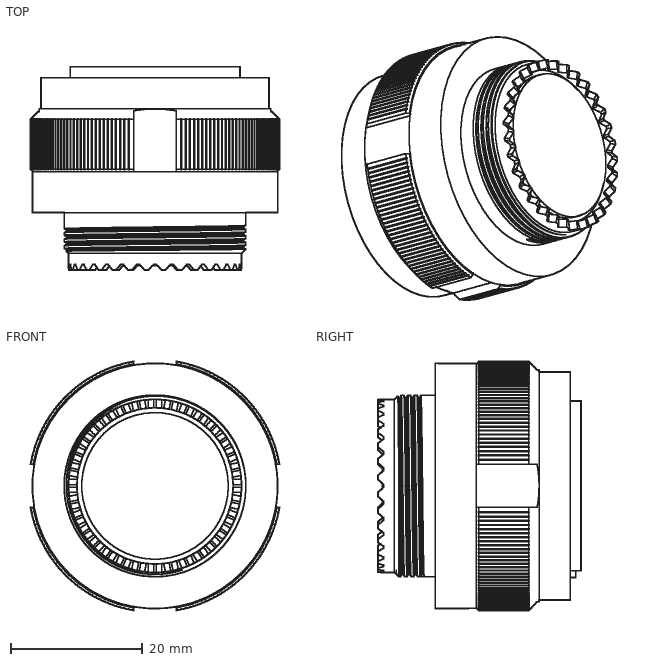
import cadquery as cq

collar_radius = 13.2
collar_bore_radius = 11.9
collar_floor_y = 1.5
insert_radius = 11.17
insert_face_y = 0.65
tooth_count = 32
tooth_gap_depth = 0.9
tooth_gap_mouth_width = 2.0
tooth_gap_root_width = 0.35

thread_front_y = 2.55
thread_radius = 13.85
thread_pitch = 1.0
thread_depth = 0.38
thread_mouth_width = 0.62
thread_root_width = 0.2
thread_start_y = 6.77
thread_cut_margin = 0.1

flange_radius = 18.7
flange_front_y = 8.75

nut_front_y = 15.0
nut_rear_y = 24.6
nut_radius = 19.26
nut_rear_radius = 17.65
nut_front_chamfer = 0.4
nut_flat_width = 6.54
nut_flat_distance = 17.67
nut_flat_count = 4
knurl_pitch_angle = 2
knurl_first_angle = 12
knurl_groove_width = 0.16
knurl_groove_depth = 0.1

drum_radius = 17.4
drum_rear_y = 29.35
boss_radius = 12.95
overall_length = 31.0
key_width = 1.0
key_reach = 13.97
key_rear_y = 30.2

cut_margin = 1.0


def turned(profile):
    """Solid of revolution about Y from (radius, y) points."""
    return cq.Workplane("XY").polyline(profile).close().revolve(360, (0, 0, 0), (0, 1, 0))


def front_plane(y):
    """Workplane at the given y whose local x, y, z run along X, -Z, Y."""
    return cq.Workplane(cq.Plane(origin=(0, y, 0), xDir=(1, 0, 0), normal=(0, 1, 0)))


def make_core():
    thread_end_chamfer = thread_radius - collar_radius
    return turned([
        (0, insert_face_y),
        (insert_radius, insert_face_y),
        (insert_radius, collar_floor_y),
        (collar_bore_radius, collar_floor_y),
        (collar_bore_radius, 0),
        (collar_radius, 0),
        (collar_radius, thread_front_y),
        (thread_radius, thread_front_y + thread_end_chamfer),
        (thread_radius, flange_front_y),
        (flange_radius, flange_front_y),
        (flange_radius, nut_front_y),
        (drum_radius, nut_front_y),
        (drum_radius, drum_rear_y),
        (boss_radius, drum_rear_y),
        (boss_radius, overall_length),
        (0, overall_length),
    ])


def make_tooth_gaps():
    """Radial V-shaped gaps, all crossing the front edge of the collar."""
    half_mouth = tooth_gap_mouth_width / 2
    half_root = tooth_gap_root_width / 2
    inner_radius = (insert_radius + collar_bore_radius) / 2
    gap = (
        cq.Workplane("XY", origin=(0, 0, inner_radius))
        .polyline([
            (-half_mouth, 0),
            (-half_mouth, -cut_margin),
            (half_mouth, -cut_margin),
            (half_mouth, 0),
            (half_root, tooth_gap_depth),
            (-half_root, tooth_gap_depth),
        ])
        .close()
        .extrude(collar_radius + cut_margin - inner_radius)
        .val()
    )
    step = 360 / tooth_count
    return [gap.rotate((0, 0, 0), (0, 1, 0), i * step) for i in range(tooth_count)]


def make_thread_groove():
    """Right-handed helical groove that starts at -Z and runs out through the front chamfer."""
    root_radius = thread_radius - thread_depth
    flank_slope = (thread_mouth_width - thread_root_width) / 2 / thread_depth
    outer_radius = thread_radius + thread_cut_margin
    half_root = thread_root_width / 2
    half_outer = half_root + flank_slope * (outer_radius - root_radius)
    helix_height = thread_start_y - thread_front_y + half_outer

    section = [
        (root_radius, -half_root),
        (outer_radius, -half_outer),
        (outer_radius, half_outer),
        (root_radius, half_root),
    ]
    edges = [
        cq.Wire.makeHelix(thread_pitch, helix_height, radius).translate(cq.Vector(0, 0, offset))
        for radius, offset in section
    ]
    sides = [
        cq.Face.makeRuledSurface(edge, following)
        for edge, following in zip(edges, edges[1:] + edges[:1])
    ]
    ends = [
        cq.Face.makeFromWires(cq.Wire.makePolygon([edge.positionAt(t) for edge in edges], close=True))
        for t in (0, 1)
    ]
    groove = cq.Solid.makeSolid(cq.Shell.makeShell(sides + ends))
    thread_frame = cq.Plane(origin=(0, thread_start_y, 0), xDir=(0, 0, -1), normal=(0, -1, 0))
    return groove.moved(cq.Location(thread_frame))


def make_knurl_grooves():
    """V grooves along Y, filling the four arcs between the nut flats."""
    half_width = knurl_groove_width / 2
    length = nut_rear_y - nut_front_y
    groove = (
        front_plane(nut_front_y)
        .polyline([
            (nut_radius - knurl_groove_depth, 0),
            (nut_radius + knurl_groove_depth, -2 * half_width),
            (nut_radius + knurl_groove_depth, 2 * half_width),
        ])
        .close()
        .extrude(length)
        .val()
    )
    arc_angle = 360 // nut_flat_count
    offsets = range(knurl_first_angle, arc_angle - knurl_first_angle + 1, knurl_pitch_angle)
    return [
        groove.rotate((0, 0, 0), (0, 1, 0), arc * arc_angle + offset)
        for arc in range(nut_flat_count)
        for offset in offsets
    ]


def make_nut():
    cone_length = nut_radius - nut_rear_radius
    nut = turned([
        (0, nut_front_y),
        (nut_radius - nut_front_chamfer, nut_front_y),
        (nut_radius, nut_front_y + nut_front_chamfer),
        (nut_radius, nut_rear_y - cone_length),
        (nut_rear_radius, nut_rear_y),
        (0, nut_rear_y),
    ])
    nut = nut.cut(cq.Compound.makeCompound(make_knurl_grooves()))
    flat_cutter = front_plane(nut_front_y).polarArray(
        nut_flat_distance + cut_margin, 0, 360, nut_flat_count
    ).rect(2 * cut_margin, nut_flat_width).extrude(nut_rear_y - nut_front_y)
    return nut.cut(flat_cutter)


def make_key():
    """Small rib standing out of the rear boss toward -Z."""
    return (
        front_plane(drum_rear_y)
        .center(0, key_reach / 2)
        .rect(key_width, key_reach)
        .extrude(key_rear_y - drum_rear_y)
    )


core = make_core()
for gap in make_tooth_gaps():
    core = core.cut(cq.Workplane(gap))
core = core.cut(cq.Workplane(make_thread_groove()))

result = core.union(make_nut()).union(make_key())